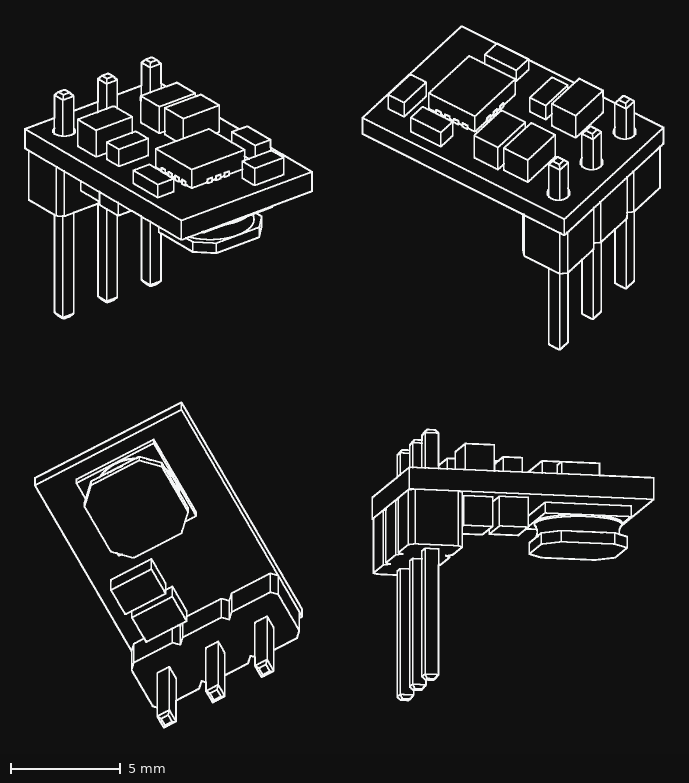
import cadquery as cq


pin_count = 3
pin_pitch = 2.54
pin_width = 0.63
pin_tip_width = 0.37
pin_tip_height = 0.17
pin_above_board = 2.0
pin_below_header = 6.0
header_height = 2.54
header_depth = pin_pitch
header_corner_cut = 0.27
header_center_x = header_depth / 2
pin_rows = [(i - (pin_count - 1) / 2) * pin_pitch for i in range(pin_count)]

board_length = 11.42
board_width = pin_count * pin_pitch
board_thickness = 1.0
board_bottom = -board_thickness
pin_hole_diameter = 1.02

LARGE_CAPACITOR = (2.1, 1.35, 1.37)
SMALL_CAPACITOR = (1.7, 0.9, 0.88)
RESISTOR = (1.78, 0.93, 0.67)

large_capacitors_on_top = [(3.49, 1.75), (5.08, 1.88), (3.49, -1.93)]
large_capacitors_below = [(3.45, -1.72), (5.08, -1.92)]
small_capacitors_along_y = [(5.08, -1.89), (10.39, 1.78)]
small_capacitor_along_x = (8.25, 2.79)
resistor_center = (8.12, -2.79)

ic_center = (8.02, 0.01)
ic_length_x = 2.61
ic_length_y = 3.09
ic_top = 1.0
ic_standoff = 0.05
lead_pitch = 0.5
lead_width = 0.28
lead_height = 0.21
lead_depth = 0.3
lead_overhang = 0.02
leads_per_x_side = 3
leads_per_y_side = 4

inductor_center = (8.76, 0.0)
inductor_width = 4.02
inductor_base_height = 0.5
inductor_neck_height = 0.78
inductor_flange_height = 0.52
inductor_flange_corner_cut = 0.76
drum_radius = 2.0
drum_waist_radius = 1.87
drum_collar_height = 0.08


def block(size_x, size_y, z_low, z_high, center):
    """Upright box between two heights, centred on an XY point."""
    return (
        cq.Workplane("XY", origin=(*center, z_low))
        .rect(size_x, size_y)
        .extrude(z_high - z_low)
    )


def chip(size, center, along_x=False, below=False):
    """Rectangular chip part standing on the top of the board or hanging below it."""
    length, width, height = size
    size_x, size_y = (length, width) if along_x else (width, length)
    z_low = board_bottom - height if below else 0.0
    return block(size_x, size_y, z_low, z_low + height, center)


def integrated_circuit():
    """Package held just clear of the board by its leads."""
    package = block(ic_length_x, ic_length_y, ic_standoff, ic_top, ic_center)
    center_x, center_y = ic_center
    reach_x = ic_length_x / 2 + lead_overhang - lead_depth / 2
    reach_y = ic_length_y / 2 + lead_overhang - lead_depth / 2
    for side in (-1, 1):
        for i in range(leads_per_x_side):
            offset = (i - (leads_per_x_side - 1) / 2) * lead_pitch
            place = (center_x + side * reach_x, center_y + offset)
            package = package.union(block(lead_depth, lead_width, 0.0, lead_height, place))
        for i in range(leads_per_y_side):
            offset = (i - (leads_per_y_side - 1) / 2) * lead_pitch
            place = (center_x + offset, center_y + side * reach_y)
            package = package.union(block(lead_width, lead_depth, 0.0, lead_height, place))
    return package


def inductor():
    """Square base against the board, waisted drum, and a flange with cut corners."""
    base_low = board_bottom - inductor_base_height
    neck_low = base_low - inductor_neck_height
    flange_low = neck_low - inductor_flange_height
    base = block(inductor_width, inductor_width, base_low, board_bottom, inductor_center)
    flange = (
        block(inductor_width, inductor_width, flange_low, neck_low, inductor_center)
        .edges("|Z")
        .chamfer(inductor_flange_corner_cut)
    )
    collar_low = base_low - drum_collar_height
    drum = (
        cq.Workplane("XZ", origin=(*inductor_center, 0))
        .moveTo(0, neck_low)
        .lineTo(drum_radius, neck_low)
        .threePointArc(
            (drum_waist_radius, (neck_low + collar_low) / 2),
            (drum_radius, collar_low),
        )
        .lineTo(drum_radius, base_low)
        .lineTo(0, base_low)
        .close()
        .revolve(360, (0, 0, 0), (0, 1, 0))
    )
    return base.union(drum).union(flange)


def circuit_board():
    """Board with pin holes and every part soldered to it, as one solid."""
    board = block(board_length, board_width, board_bottom, 0.0, (board_length / 2, 0))
    holes = (
        cq.Workplane("XY", origin=(0, 0, board_bottom))
        .pushPoints([(header_center_x, y) for y in pin_rows])
        .circle(pin_hole_diameter / 2)
        .extrude(board_thickness)
    )
    parts = [chip(LARGE_CAPACITOR, place) for place in large_capacitors_on_top]
    parts += [chip(LARGE_CAPACITOR, place, below=True) for place in large_capacitors_below]
    parts += [chip(SMALL_CAPACITOR, place) for place in small_capacitors_along_y]
    parts.append(chip(SMALL_CAPACITOR, small_capacitor_along_x, along_x=True))
    parts.append(chip(RESISTOR, resistor_center, along_x=True))
    parts.append(integrated_circuit())
    parts.append(inductor())
    board = board.cut(holes)
    for part in parts:
        board = board.union(part)
    return board


def pin_tip(y, z_shoulder, direction):
    """Tapered end of a pin, pointing up (1) or down (-1)."""
    return (
        cq.Workplane("XY", origin=(header_center_x, y, z_shoulder))
        .rect(pin_width, pin_width)
        .workplane(offset=direction * pin_tip_height)
        .rect(pin_tip_width, pin_tip_width)
        .loft(ruled=True)
    )


def pin_header():
    """Row of corner-cut plastic cells with a square pin through each, as one solid."""
    header_low = board_bottom - header_height
    shoulder_low = header_low - pin_below_header + pin_tip_height
    shoulder_high = pin_above_board - pin_tip_height
    header = cq.Workplane("XY")
    for y in pin_rows:
        center = (header_center_x, y)
        cell = (
            block(header_depth, pin_pitch, header_low, board_bottom, center)
            .edges("|Z")
            .chamfer(header_corner_cut)
        )
        shank = block(pin_width, pin_width, shoulder_low, shoulder_high, center)
        header = header.union(cell).union(shank)
        header = header.union(pin_tip(y, shoulder_high, 1)).union(pin_tip(y, shoulder_low, -1))
    return header


board = circuit_board()
header = pin_header()
result = cq.Compound.makeCompound([board.solids().val(), header.solids().val()])